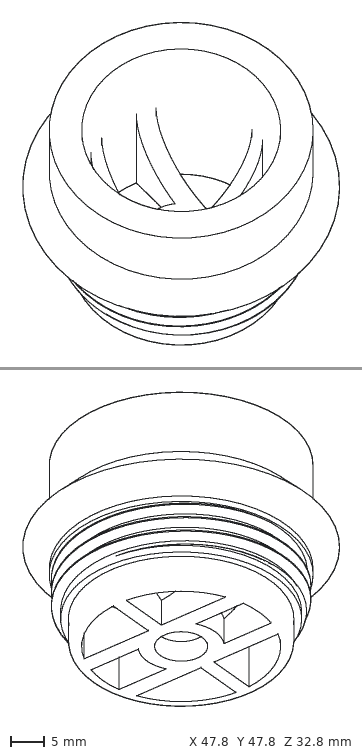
import cadquery as cq
import math

total_height = 32.8
spigot_height = 5.0
collar_base = 13.0
collar_top = 14.0
rim_height = 18.0
body_base = 22.05

spigot_radius = 34.0 / 2
core_radius = 36.35 / 2
body_radius = 39.8 / 2
rim_radius = 47.8 / 2
spigot_fillet = 1.0

bore_radius = 15.0
bowl_center_height = 18.0

hub_radius = 6.5
hub_hole_radius = 8.0 / 2
rib_width = 2.5
bar_inner_offset = 3.4
bar_outer_offset = 6.4

thread_pitch = 2.43
thread_radius = 39.15 / 2
thread_crest_flat = 0.2
thread_half_angle = math.radians(30)
thread_root_overlap = 0.3
thread_start_angle = -90
thread_start_height = 4.04
thread_turns = 4
lead_in_height = 6.2
lead_in_angle = math.radians(28)


def make_body():
    """Turned outside shape, still solid inside."""
    outline = (
        cq.Workplane("XZ")
        .moveTo(0, 0)
        .lineTo(spigot_radius, 0)
        .lineTo(spigot_radius, spigot_height)
        .lineTo(core_radius, spigot_height)
        .lineTo(core_radius, collar_base)
        .lineTo(body_radius, collar_base)
        .lineTo(body_radius, collar_top)
        .lineTo(rim_radius, rim_height)
        .lineTo(body_radius, body_base)
        .lineTo(body_radius, total_height)
        .lineTo(0, total_height)
        .close()
    )
    return outline.revolve().faces("<Z").edges().fillet(spigot_fillet)


def make_threaded_core():
    """Threaded core, trimmed by a conical lead-in and ended inside the collar."""
    core = cq.Workplane("XY").circle(core_radius).extrude(rim_height)
    root_radius = core_radius - thread_root_overlap
    crest_half = thread_crest_flat / 2
    root_half = crest_half + (thread_radius - root_radius) * math.tan(thread_half_angle)
    path = cq.Wire.makeHelix(thread_pitch, thread_turns * thread_pitch, root_radius)
    ridge = (
        cq.Workplane("XZ")
        .moveTo(root_radius, -root_half)
        .lineTo(thread_radius, -crest_half)
        .lineTo(thread_radius, crest_half)
        .lineTo(root_radius, root_half)
        .close()
        .sweep(cq.Workplane(path), isFrenet=True)
        .rotate((0, 0, 0), (0, 0, 1), thread_start_angle)
        .translate((0, 0, thread_start_height))
    )
    trim_radius = body_radius
    trim_top = (collar_base + collar_top) / 2
    lead_in_rise = (trim_radius - core_radius) * math.tan(lead_in_angle)
    envelope = (
        cq.Workplane("XZ")
        .moveTo(0, lead_in_height)
        .lineTo(core_radius, lead_in_height)
        .lineTo(trim_radius, lead_in_height + lead_in_rise)
        .lineTo(trim_radius, trim_top)
        .lineTo(0, trim_top)
        .close()
        .revolve()
    )
    return core.union(ridge).intersect(envelope)


def make_bore():
    """Straight bore ending in a hemisphere."""
    bowl_bottom = bowl_center_height - bore_radius
    return (
        cq.Workplane("XZ")
        .moveTo(0, bowl_bottom)
        .radiusArc((bore_radius, bowl_center_height), -bore_radius)
        .lineTo(bore_radius, total_height)
        .lineTo(0, total_height)
        .close()
        .revolve()
    )


def make_spider():
    """Hub, two long bars along X and two short ribs along Y, as a full-height prism."""
    bar_width = bar_outer_offset - bar_inner_offset
    bar_offset = (bar_outer_offset + bar_inner_offset) / 2
    rib_length = bore_radius - bar_offset
    rib_offset = (bore_radius + bar_offset) / 2
    spider = cq.Workplane("XY").circle(hub_radius).extrude(bowl_center_height)
    for side in (-1, 1):
        bar = (
            cq.Workplane("XY")
            .center(0, side * bar_offset)
            .rect(2 * bore_radius, bar_width)
            .extrude(bowl_center_height)
        )
        rib = (
            cq.Workplane("XY")
            .center(0, side * rib_offset)
            .rect(rib_width, rib_length)
            .extrude(bowl_center_height)
        )
        spider = spider.union(bar).union(rib)
    return spider


def make_windows():
    """Openings between the spider arms, out to the bore wall."""
    return cq.Workplane("XY").circle(bore_radius).extrude(bowl_center_height).cut(make_spider())


hub_hole = cq.Workplane("XY").circle(hub_hole_radius).extrude(total_height)

result = make_body().union(make_threaded_core()).cut(make_bore()).cut(make_windows()).cut(hub_hole)